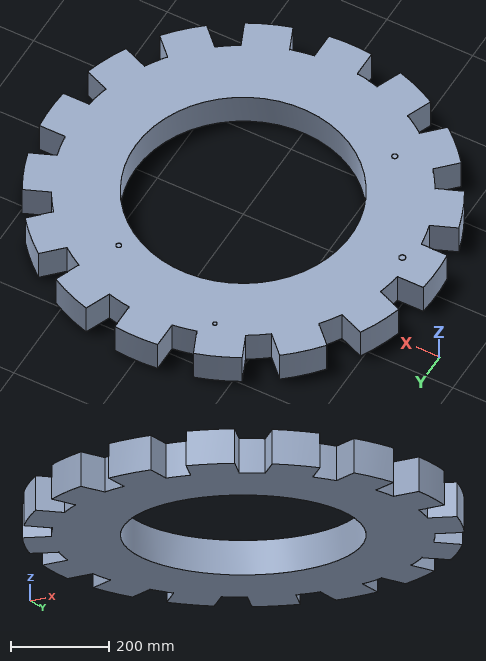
import cadquery as cq

thickness = 74.6
outer_diameter = 900.0
root_diameter = 780.0
bore_diameter = 500.0
tooth_count = 16
tooth_width = 100.0

recess_depth = 1.0
recesses = [
    (-124.1, 340.9, 8.94),
    (149.2, 252.4, 11.65),
    (-370.4, 0.0, 14.28),
    (-224.5, -230.2, 12.56),
]


def make_disc(diameter):
    """Full-thickness disc about the Z axis, standing on the XY plane."""
    return cq.Workplane("XY").circle(diameter / 2).extrude(thickness)


def add_tooth_bars(body):
    """Each bar through the centre gives two opposite, parallel-sided teeth."""
    bar = cq.Workplane("XY").rect(outer_diameter, tooth_width).extrude(thickness)
    tooth_pitch = 360.0 / tooth_count
    for index in range(tooth_count // 2):
        body = body.union(bar.rotate((0, 0, 0), (0, 0, 1), index * tooth_pitch))
    return body


def make_toothed_ring():
    """Root disc with teeth, tooth tips rounded to the outer circle, and the bore."""
    toothed_disc = add_tooth_bars(make_disc(root_diameter))
    return toothed_disc.intersect(make_disc(outer_diameter)).cut(make_disc(bore_diameter))


def cut_recesses(body):
    """Sink the small round recesses into the top face."""
    for x, y, diameter in recesses:
        top_plane = cq.Workplane("XY", origin=(x, y, thickness))
        body = body.cut(top_plane.circle(diameter / 2).extrude(-recess_depth))
    return body


result = cut_recesses(make_toothed_ring()).solids()